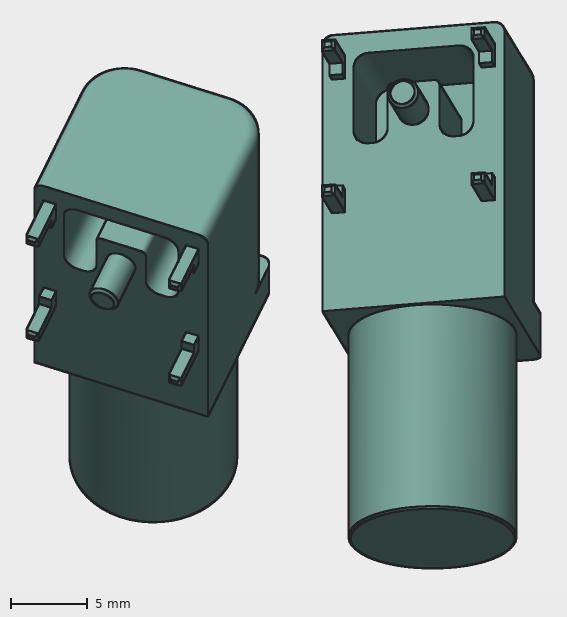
import cadquery as cq

total_height = 33.6
housing_width = 12.2
housing_depth = 11.5
housing_bottom = 14.28
shoulder_z = 17.25
total_depth = 14.8
pin_length = total_depth - housing_depth

upper_corner_radius = 3.0
lower_corner_radius = 0.7
top_edge_radius = 0.7

barrel_diameter = 11.0
barrel_chamfer = 0.15

pocket_width = 8.03
pocket_top = 32.15
pocket_bottom = 25.8
pocket_depth = 6.72
pocket_corner_radius = 1.0
tab_width = 3.45
tab_top = 29.87
tab_corner_radius = 0.35

peg_diameter = 2.0
peg_z = 27.85
tip_chamfer = 0.2
pin_spacing = 10.0
pin_width = 0.87
pin_thickness = 0.77
pin_foot_height = 1.58
pin_foot_length = 0.8
upper_pin_z = 32.05
lower_pin_z = 21.1


def block(width, depth, bottom, top):
    """Box centred on X, from Y = 0 to Y = depth."""
    return (
        cq.Workplane("XY", origin=(0, depth / 2, bottom))
        .rect(width, depth)
        .extrude(top - bottom)
    )


def make_housing():
    base = block(housing_width, housing_depth, housing_bottom, shoulder_z)
    base = base.edges("|Z and >Y").fillet(lower_corner_radius)
    upper = block(housing_width, housing_depth, shoulder_z, total_height)
    upper = upper.edges("|Z and >Y").fillet(upper_corner_radius)
    upper = upper.faces(">Z").edges("not <Y").fillet(top_edge_radius)
    return base.union(upper)


def make_barrel():
    return (
        cq.Workplane("XY", origin=(0, housing_depth / 2, 0))
        .circle(barrel_diameter / 2)
        .extrude(housing_bottom)
        .faces("<Z")
        .chamfer(barrel_chamfer)
    )


def make_pocket():
    opening = block(pocket_width, pocket_depth, pocket_bottom, pocket_top)
    tab = block(tab_width, pocket_depth, pocket_bottom, tab_top)
    tab = tab.edges("|Y and >Z").fillet(tab_corner_radius)
    return (
        opening.cut(tab)
        .edges("|Y and (>Z or <Z)")
        .fillet(pocket_corner_radius)
    )


def make_peg():
    return (
        cq.Workplane("XZ", origin=(0, 0, peg_z))
        .circle(peg_diameter / 2)
        .extrude(pin_length)
        .faces("<Y")
        .chamfer(tip_chamfer)
    )


def make_pin(x, outer_z, foot_direction):
    """L-shaped pin; its foot extends from outer_z along Z in foot_direction."""
    shank_z = outer_z + foot_direction * pin_thickness
    foot_z = outer_z + foot_direction * pin_foot_height
    outline = [
        (0, outer_z),
        (-pin_length, outer_z),
        (-pin_length, shank_z),
        (-pin_foot_length, shank_z),
        (-pin_foot_length, foot_z),
        (0, foot_z),
    ]
    return (
        cq.Workplane("YZ", origin=(x, 0, 0))
        .polyline(outline)
        .close()
        .extrude(pin_width / 2, both=True)
        .faces("<Y")
        .chamfer(tip_chamfer)
    )


result = make_housing().union(make_barrel()).cut(make_pocket()).union(make_peg())
for pin_x in (-pin_spacing / 2, pin_spacing / 2):
    result = result.union(make_pin(pin_x, upper_pin_z, -1))
    result = result.union(make_pin(pin_x, lower_pin_z, 1))